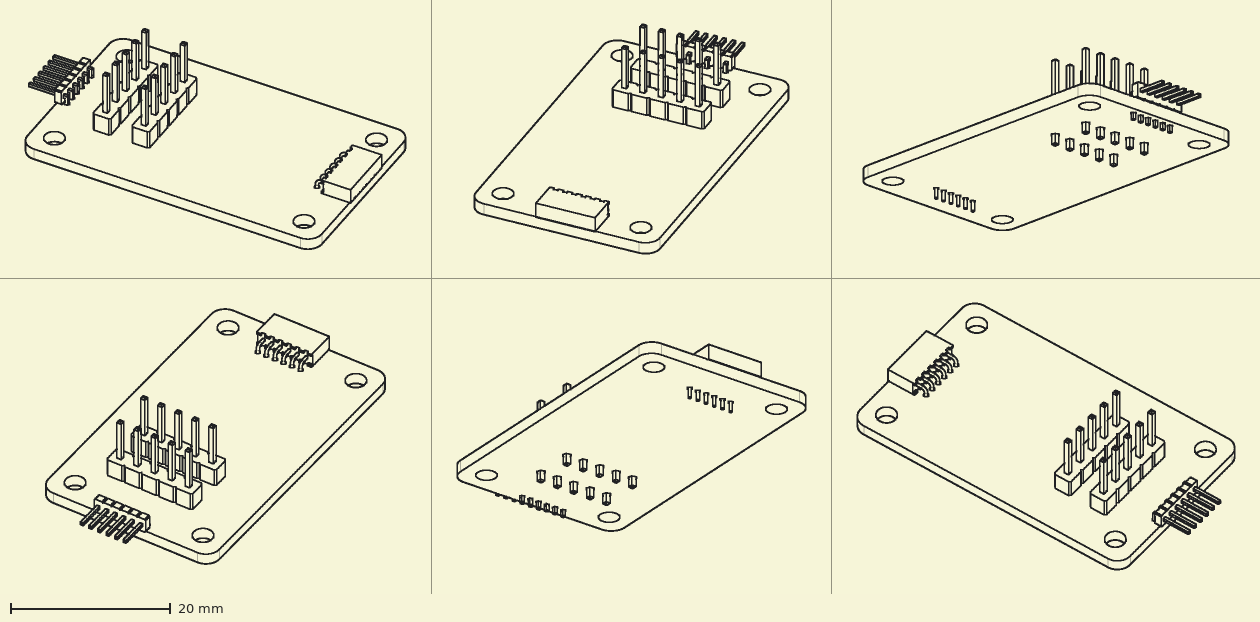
import cadquery as cq


board_length = 41.97
board_width = 25.4
board_thickness = 1.6
corner_radius = 2.0
mount_hole_diameter = 2.7
mount_hole_inset = 3.2
header_drill = 1.0
fine_drill = 0.65

pitch = board_width / 10
fine_pitch = pitch / 2
row_y = 0.65

header_positions_x = [-13.15, -7.65]
header_ways = 5
header_chamfer = 0.25
header_pin_side = 0.65
header_pin_top = 8.52
header_pin_tail = 3.0
header_pin_tip = 0.2

fine_ways = 6
fine_body_height = 2.1
fine_axis_z = fine_body_height / 2

angled_tip_x = -25.2
angled_body_x = -21.2
angled_body_depth = 0.95
angled_chamfer = 0.15
angled_pin_side = 0.4
angled_leg_x = -19.8
angled_tail = 2.5
angled_tip_chamfer = 0.1

socket_back_x = 16.95
socket_mouth_x = 21.13
socket_width = 8.15
socket_recess_depth = 0.3
socket_recess_height = 1.5
socket_notch_width = 0.55
socket_pin_diameter = 0.4
socket_leg_x = 15.85
socket_bend_radius = 0.6
socket_tail = header_pin_tail
socket_tip_chamfer = 0.115


def row_centres(ways, spacing):
    """Y of every position in a row centred on row_y."""
    return [row_y + (i - (ways - 1) / 2) * spacing for i in range(ways)]


header_ys = row_centres(header_ways, pitch)
fine_ys = row_centres(fine_ways, fine_pitch)


def box(x_min, x_max, y_centre, y_size, z_min, z_max):
    """Box given by its X and Z limits and its centre and size in Y."""
    lengths = (x_max - x_min, y_size, z_max - z_min)
    centre = ((x_min + x_max) / 2, y_centre, (z_min + z_max) / 2)
    return cq.Workplane("XY").box(*lengths).translate(centre)


def drill(board, points, diameter):
    """Through holes at the given points of the board."""
    top = board.faces(">Z").workplane(origin=(0, 0, 0))
    return top.pushPoints(points).hole(diameter)


def make_board():
    board = box(-board_length / 2, board_length / 2, 0, board_width, -board_thickness, 0)
    board = board.edges("|Z").fillet(corner_radius)
    mount_x = board_length / 2 - mount_hole_inset
    mount_y = board_width / 2 - mount_hole_inset
    mount_points = [(x, y) for x in (-mount_x, mount_x) for y in (-mount_y, mount_y)]
    board = drill(board, mount_points, mount_hole_diameter)
    header_points = [(x, y) for x in header_positions_x for y in header_ys]
    board = drill(board, header_points, header_drill)
    fine_points = [(x, y) for x in (angled_leg_x, socket_leg_x) for y in fine_ys]
    return drill(board, fine_points, fine_drill)


def make_header(x):
    """Row of chamfered square blocks, each with a straight square pin through it."""
    half = pitch / 2
    header = cq.Workplane("XY")
    for y in header_ys:
        block = box(x - half, x + half, y, pitch, 0, pitch).edges("|Z").chamfer(header_chamfer)
        half_pin = header_pin_side / 2
        pin = box(x - half_pin, x + half_pin, y, header_pin_side, -header_pin_tail, header_pin_top)
        pin = pin.faces("<Z or >Z").chamfer(header_pin_tip)
        header = header.union(block).union(pin)
    return header


def make_angled_header():
    """Row of chamfered blocks with square pins that leave along -X and turn down into the board."""
    half_pin = angled_pin_side / 2
    pin_top = fine_axis_z + half_pin
    pin_back = angled_leg_x + half_pin
    header = cq.Workplane("XY")
    for y in fine_ys:
        block = box(angled_body_x, angled_body_x + angled_body_depth, y, fine_pitch, 0, fine_body_height)
        block = block.edges("|X").chamfer(angled_chamfer)
        arm = box(angled_tip_x, pin_back, y, angled_pin_side, fine_axis_z - half_pin, pin_top)
        arm = arm.faces("<X").chamfer(angled_tip_chamfer)
        leg = box(angled_leg_x - half_pin, pin_back, y, angled_pin_side, -angled_tail, pin_top)
        leg = leg.faces("<Z").chamfer(angled_tip_chamfer)
        pin = arm.union(leg).edges("|Y and >X and >Z").chamfer(angled_tip_chamfer)
        header = header.union(block).union(pin)
    return header


def make_socket_pin(y):
    """Round pin that runs from the socket along -X and bends down through the board."""
    recess_floor_x = socket_back_x + socket_recess_depth
    embedded_end_x = recess_floor_x + socket_pin_diameter
    path = (
        cq.Workplane("XZ", origin=(0, y, 0))
        .moveTo(socket_leg_x, -socket_tail)
        .lineTo(socket_leg_x, fine_axis_z - socket_bend_radius)
        .radiusArc((socket_leg_x + socket_bend_radius, fine_axis_z), socket_bend_radius)
        .lineTo(embedded_end_x, fine_axis_z)
    )
    section = cq.Workplane("XY", origin=(socket_leg_x, y, -socket_tail)).circle(socket_pin_diameter / 2)
    return section.sweep(path).faces("<Z").chamfer(socket_tip_chamfer)


def make_socket():
    """Socket block with a grooved back face, notched at every pin."""
    recess_floor_x = socket_back_x + socket_recess_depth
    groove_bottom = fine_axis_z - socket_recess_height / 2
    groove_top = fine_axis_z + socket_recess_height / 2
    socket = box(socket_back_x, socket_mouth_x, row_y, socket_width, 0, fine_body_height)
    socket = socket.cut(box(socket_back_x, recess_floor_x, row_y, socket_width, groove_bottom, groove_top))
    for y in fine_ys:
        socket = socket.cut(box(socket_back_x, recess_floor_x, y, socket_notch_width, 0, fine_body_height))
        socket = socket.union(make_socket_pin(y))
    return socket


board = make_board()
headers = [make_header(x) for x in header_positions_x]
angled_header = make_angled_header()
socket = make_socket()

result = cq.Compound.makeCompound(
    [board.val(), *[header.val() for header in headers], angled_header.val(), socket.val()]
)